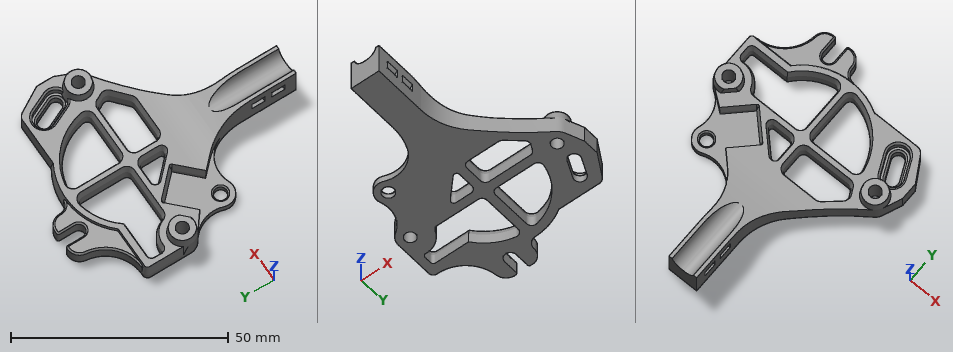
import cadquery as cq
import math


TAB_TOP = 2.0
INNER_DRAFT_START = 3.0
OUTER_DRAFT_START = 1.5
FORK_TOP = 4.1
FRAME_TOP = 5.0
BOSS_TOP = 7.6
ARM_TOP = 9.2
OVER = 1.0

INNER_DRAFT = 0.6
OUTER_DRAFT = 0.45

BOSS_PITCH = 31.0 * math.sqrt(2)
BOSS_X = BOSS_PITCH / 2
BOSS_RADIUS = 3.6
BOSS_TOP_RADIUS = 3.25
BOSS_FOOT_RADIUS = 4.1
BOSS_HOLE_D = 3.2
BOSS_FLAT_OFFSET = 2.97
TANGENT_ANGLE = 55.0

OVERALL_X = 52.76
OVERALL_Y = 66.96
FORK_END_Y = 24.14
LEFT_X = -(BOSS_X + BOSS_RADIUS)
RIGHT_X = LEFT_X + OVERALL_X
RIM_RADIUS = 18.2
LEFT_TOP_Y = 12.35
LEFT_CORNER_R = 1.3
RIGHT_TOP_Y = 15.36
RIGHT_TOP_X = 22.9
RIGHT_CORNER_R = 2.0
RIGHT_SIDE_TOP_Y = 8.0
RIGHT_SIDE_BOTTOM_Y = 3.45

ARM_HALF = 4.15
ARM_END_Y = FORK_END_Y - OVERALL_Y
ARM_BLEND_R = 16.4
ARM_BLEND_Y = -27.6
FLANK_X = 12.35
SLOPE_START_Y = -11.47
SLOPE_RADIUS = 30.0
SLOPE_MID_Y = -19.34
SLOPE_END_Y = -32.0

GROOVE_RADIUS = 2.95
GROOVE_FLAT_HALF = 0.3
GROOVE_FLOOR = 6.85
TIE_AXIS_Z = 8.9
TIE_MOUTH_BOTTOM = 4.0
TIE_MOUTH_TOP = 6.3
TIE_WIDTH = 3.55
TIE_CENTERS_Y = (-32.53, -37.98)

SPOKE_HALF = 1.265
WINDOW_RADIUS = 15.7
BOSS_CLEARANCE_R = 6.0
LEFT_WINDOW_X = -23.12
LEFT_WINDOW_TOP_Y = 9.58
TRIANGLE_SUM = -10.44
LOWER_WINDOW_Y = -9.05
LOWER_WINDOW_CORNER_X = 12.5
LOWER_WINDOW_SLOPE = 0.885
HUB_CORNER_R = 1.5
TIGHT_CORNER_R = 0.8
WIDE_CORNER_R = 2.0

OBLONG_ENDS = ((19.75, 10.83), (BOSS_X, 6.16))
OBLONG_RADIUS = 1.7
OBLONG_RECESS_RADIUS = 2.8
OBLONG_CHAMFER = 0.5
OBLONG_FLOOR = 2.8

FORK_SLOT_X = -8.14
FORK_SLOT_WIDTH = 3.4
FORK_SLOT_Y = 19.5
HORN_RADIUS = 3.3
LEFT_HORN_X = -10.62
RIGHT_HORN_X = -5.45
HORN_TIP_R = 0.5
FORK_LEFT_BLEND_R = 10.0
FORK_RIGHT_BLEND_R = 2.5
FORK_CHAMFER = 0.45

TAB_CENTER = (-17.3, -13.5)
TAB_RADIUS = 3.5
TAB_HOLE_D = 3.4
TAB_HOLE_CHAMFER = 0.4
TAB_BLEND_R = 8.0
POCKET_TOP_CORNER = (-12.84, 0.0)
POCKET_WIDTH = 9.93
POCKET_LENGTH = 25.0


def polar(center, radius, degrees):
    angle = math.radians(degrees)
    return (center[0] + radius * math.cos(angle), center[1] + radius * math.sin(angle))


def toward(start, end, distance):
    """Point at the given distance from start on the line to end."""
    span = math.dist(start, end)
    return tuple(a + (b - a) * distance / span for a, b in zip(start, end))


def arc_middle(center, radius, start, end):
    """Middle of the shorter arc between two points of a circle."""
    half_way = ((start[0] + end[0]) / 2, (start[1] + end[1]) / 2)
    return toward(center, half_way, radius)


def circle_meeting(center_a, radius_a, center_b, radius_b, side):
    """Crossing of two circles, left (side=1) or right (side=-1) of the line a to b."""
    span = math.dist(center_a, center_b)
    along = (span**2 + radius_a**2 - radius_b**2) / (2 * span)
    across = side * math.sqrt(radius_a**2 - along**2)
    ux = (center_b[0] - center_a[0]) / span
    uy = (center_b[1] - center_a[1]) / span
    return (center_a[0] + along * ux - across * uy, center_a[1] + along * uy + across * ux)


def mirrored(point):
    return (-point[0], point[1])


def box(x_min, x_max, y_min, y_max, z_min, z_max):
    size = (x_max - x_min, y_max - y_min, z_max - z_min)
    return cq.Workplane("XY").box(*size, centered=False).translate((x_min, y_min, z_min))


def disc(center, radius, height):
    return cq.Workplane("XY").center(*center).circle(radius).extrude(height)


def flare_above(prism, height, run):
    """Add a drafted continuation on top of a prism; a positive run widens it."""
    taper = -math.degrees(math.atan2(run, height))
    return prism.union(prism.faces(">Z").wires().toPending().workplane().extrude(height, taper=taper))


RIGHT_BOSS = (BOSS_X, 0.0)
LEFT_BOSS = mirrored(RIGHT_BOSS)
ARM_BLEND_CENTER = (ARM_HALF + ARM_BLEND_R, ARM_BLEND_Y)


def frame_outline():
    """Plan shape of the frame and arm; the arm and boss sides mirror each other."""
    boss_exit = polar(RIGHT_BOSS, BOSS_RADIUS, -TANGENT_ANGLE)
    arm_start = polar(ARM_BLEND_CENTER, ARM_BLEND_R, 135)
    arm_middle = polar(ARM_BLEND_CENTER, ARM_BLEND_R, 157.5)
    arm_side = (ARM_HALF, ARM_BLEND_Y)
    flank = (FLANK_X, arm_start[1] + FLANK_X - arm_start[0])
    left_start = (LEFT_X, 0.0)
    left_middle = arc_middle(LEFT_BOSS, BOSS_RADIUS, left_start, mirrored(boss_exit))

    chord_angle = math.degrees(math.atan2(boss_exit[1] - flank[1], boss_exit[0] - flank[0]))
    chord = math.dist(boss_exit, flank)
    turn = math.radians(chord_angle - (90 - TANGENT_ANGLE))
    bulge = chord / 2 * math.tan(turn / 2)
    chord_middle = ((boss_exit[0] + flank[0]) / 2, (boss_exit[1] + flank[1]) / 2)
    shallow_middle = polar(chord_middle, bulge, chord_angle + 90)

    side_foot = (RIGHT_X, RIGHT_SIDE_BOTTOM_Y)
    tangent_length = math.sqrt(math.dist(side_foot, RIGHT_BOSS) ** 2 - BOSS_RADIUS**2)
    side_tangent = circle_meeting(RIGHT_BOSS, BOSS_RADIUS, side_foot, tangent_length, -1)
    right_middle = arc_middle(RIGHT_BOSS, BOSS_RADIUS, boss_exit, side_tangent)

    rim_right = (math.sqrt(RIM_RADIUS**2 - RIGHT_TOP_Y**2), RIGHT_TOP_Y)
    rim_left = (-math.sqrt(RIM_RADIUS**2 - LEFT_TOP_Y**2), LEFT_TOP_Y)
    return (
        cq.Workplane("XY")
        .moveTo(*left_start)
        .threePointArc(left_middle, mirrored(boss_exit))
        .threePointArc(mirrored(shallow_middle), mirrored(flank))
        .lineTo(*mirrored(arm_start))
        .threePointArc(mirrored(arm_middle), mirrored(arm_side))
        .lineTo(-ARM_HALF, ARM_END_Y)
        .lineTo(ARM_HALF, ARM_END_Y)
        .lineTo(*arm_side)
        .threePointArc(arm_middle, arm_start)
        .lineTo(*flank)
        .threePointArc(shallow_middle, boss_exit)
        .threePointArc(right_middle, side_tangent)
        .lineTo(*side_foot)
        .lineTo(RIGHT_X, RIGHT_SIDE_TOP_Y)
        .lineTo(RIGHT_TOP_X, RIGHT_TOP_Y)
        .lineTo(*rim_right)
        .threePointArc((0, RIM_RADIUS), rim_left)
        .lineTo(LEFT_X, LEFT_TOP_Y)
        .close()
    )


def corner(x, y):
    """Selector for the vertical edge at a corner of the plan."""
    reach = 0.1
    return cq.selectors.BoxSelector((x - reach, y - reach, -1), (x + reach, y + reach, 2 * ARM_TOP), True)


def outline_prism():
    prism = frame_outline().extrude(ARM_TOP + OVER)
    prism = prism.edges("|Z").edges(corner(LEFT_X, LEFT_TOP_Y)).fillet(LEFT_CORNER_R)
    return prism.edges("|Z").edges(corner(RIGHT_TOP_X, RIGHT_TOP_Y)).fillet(RIGHT_CORNER_R)


def side_profile():
    """Flat over the frame, then an S-shaped rise to the top of the arm."""
    run = SLOPE_START_Y - SLOPE_MID_Y
    sweep = math.asin(run / SLOPE_RADIUS)
    mid_z = FRAME_TOP + SLOPE_RADIUS * (1 - math.cos(sweep))
    arc_y = SLOPE_START_Y - SLOPE_RADIUS * math.sin(sweep / 2)
    arc_z = FRAME_TOP + SLOPE_RADIUS * (1 - math.cos(sweep / 2))
    handle = (SLOPE_MID_Y - SLOPE_END_Y) / 3
    rise_curve = [
        (SLOPE_MID_Y, mid_z),
        (SLOPE_MID_Y - handle, mid_z + handle * math.tan(sweep)),
        (SLOPE_END_Y + handle, ARM_TOP),
        (SLOPE_END_Y, ARM_TOP),
    ]
    back_y = FORK_END_Y + OVER
    front_y = ARM_END_Y - OVER
    return (
        cq.Workplane("YZ", origin=(-OVERALL_X, 0, 0))
        .moveTo(back_y, -OVER)
        .lineTo(back_y, FRAME_TOP)
        .lineTo(SLOPE_START_Y, FRAME_TOP)
        .threePointArc((arc_y, arc_z), (SLOPE_MID_Y, mid_z))
        .bezier(rise_curve)
        .lineTo(front_y, ARM_TOP)
        .lineTo(front_y, -OVER)
        .close()
        .extrude(2 * OVERALL_X)
    )


def draft_envelope():
    """Leans the left wall, the upper left wall and the rim inward; elsewhere it clears the frame."""
    height = FRAME_TOP - OUTER_DRAFT_START
    left_block = box(LEFT_X, 0, -BOSS_X, LEFT_TOP_Y, 0, OUTER_DRAFT_START)
    left_block = left_block.edges("|Z and <X and >Y").fillet(LEFT_CORNER_R)
    rim = disc((0, 0), RIM_RADIUS, OUTER_DRAFT_START)
    right_block = box(0, OVERALL_X, -OVERALL_Y, RIGHT_TOP_Y, 0, ARM_TOP + OVER)
    lower_block = box(-OVERALL_X, OVERALL_X, -OVERALL_Y, 0, 0, ARM_TOP + OVER)
    envelope = flare_above(left_block, height, -OUTER_DRAFT)
    envelope = envelope.union(flare_above(rim, height, -OUTER_DRAFT))
    return envelope.union(right_block).union(lower_block)


def boss(center):
    height = BOSS_TOP - OUTER_DRAFT_START
    foot = cq.Vector(*center, OUTER_DRAFT_START)
    return cq.Workplane(cq.Solid.makeCone(BOSS_FOOT_RADIUS, BOSS_TOP_RADIUS, height, foot))


def bosses():
    """Two tapered bosses; the left one has a flat facing the pocket."""
    flat_cut = (
        box(BOSS_FLAT_OFFSET, 2 * BOSS_FOOT_RADIUS, -BOSS_X, BOSS_X, FRAME_TOP, BOSS_TOP + OVER)
        .rotate((0, 0, 0), (0, 0, 1), -45)
        .translate((*LEFT_BOSS, 0))
    )
    return boss(LEFT_BOSS).cut(flat_cut).union(boss(RIGHT_BOSS))


def fork():
    """Two horns around an open slot, blended into the left wall and the rim."""
    horn_y = FORK_END_Y - HORN_RADIUS
    left_horn = (LEFT_HORN_X, horn_y)
    right_horn = (RIGHT_HORN_X, horn_y)
    slot_half = FORK_SLOT_WIDTH / 2
    slot_left = FORK_SLOT_X - slot_half
    slot_right = FORK_SLOT_X + slot_half

    left_y = LEFT_TOP_Y + FORK_LEFT_BLEND_R
    left_reach = math.sqrt((HORN_RADIUS + FORK_LEFT_BLEND_R) ** 2 - (left_y - horn_y) ** 2)
    left_blend = (left_horn[0] - left_reach, left_y)
    left_foot = (left_blend[0], LEFT_TOP_Y)
    left_join = toward(left_horn, left_blend, HORN_RADIUS)
    right_blend = circle_meeting(
        (0, 0), RIM_RADIUS + FORK_RIGHT_BLEND_R, right_horn, HORN_RADIUS + FORK_RIGHT_BLEND_R, -1
    )
    right_join = toward(right_horn, right_blend, HORN_RADIUS)
    right_foot = toward((0, 0), right_blend, RIM_RADIUS)

    left_tip = (slot_left, horn_y + math.sqrt(HORN_RADIUS**2 - (slot_left - LEFT_HORN_X) ** 2))
    right_tip = (slot_right, horn_y + math.sqrt(HORN_RADIUS**2 - (slot_right - RIGHT_HORN_X) ** 2))
    left_edge = arc_middle(left_blend, FORK_LEFT_BLEND_R, left_foot, left_join)
    right_edge = arc_middle(right_blend, FORK_RIGHT_BLEND_R, right_foot, right_join)
    root_y = LEFT_WINDOW_TOP_Y
    plate = (
        cq.Workplane("XY")
        .moveTo(*left_foot)
        .threePointArc(left_edge, left_join)
        .threePointArc(arc_middle(left_horn, HORN_RADIUS, left_join, left_tip), left_tip)
        .lineTo(slot_left, FORK_SLOT_Y)
        .threePointArc((FORK_SLOT_X, FORK_SLOT_Y - slot_half), (slot_right, FORK_SLOT_Y))
        .lineTo(*right_tip)
        .threePointArc(arc_middle(right_horn, HORN_RADIUS, right_tip, right_join), right_join)
        .threePointArc(right_edge, right_foot)
        .lineTo(right_foot[0], root_y)
        .lineTo(left_foot[0], root_y)
        .close()
        .extrude(FORK_TOP)
    )
    for tip in (left_tip, right_tip):
        plate = plate.edges("|Z").edges(corner(*tip)).fillet(HORN_TIP_R)
    return plate.faces(">Z").chamfer(FORK_CHAMFER)


def screw_tab():
    """Low round tab, blended into the outline of the frame on both sides."""
    reach = TAB_RADIUS + TAB_BLEND_R
    upper_blend = circle_meeting(LEFT_BOSS, BOSS_RADIUS + TAB_BLEND_R, TAB_CENTER, reach, -1)
    upper_foot = toward(LEFT_BOSS, upper_blend, BOSS_RADIUS)
    upper_join = toward(TAB_CENTER, upper_blend, TAB_RADIUS)
    upper_middle = arc_middle(upper_blend, TAB_BLEND_R, upper_foot, upper_join)

    arm_center = mirrored(ARM_BLEND_CENTER)
    lower_blend = circle_meeting(TAB_CENTER, reach, arm_center, ARM_BLEND_R - TAB_BLEND_R, 1)
    lower_foot = toward(arm_center, lower_blend, ARM_BLEND_R)
    lower_join = toward(TAB_CENTER, lower_blend, TAB_RADIUS)
    lower_middle = arc_middle(lower_blend, TAB_BLEND_R, lower_join, lower_foot)

    tab_tip = polar(TAB_CENTER, TAB_RADIUS, 225)
    return (
        cq.Workplane("XY")
        .moveTo(*upper_foot)
        .threePointArc(upper_middle, upper_join)
        .threePointArc(tab_tip, lower_join)
        .threePointArc(lower_middle, lower_foot)
        .lineTo(0, lower_foot[1])
        .lineTo(*POCKET_TOP_CORNER)
        .close()
        .extrude(TAB_TOP)
    )


def pocket():
    """Square pocket over the tab, turned 45 degrees, with drafted upper walls."""
    inset = INNER_DRAFT
    floor_height = INNER_DRAFT_START - TAB_TOP
    draft_height = FRAME_TOP - INNER_DRAFT_START
    lower = box(inset, POCKET_WIDTH - inset, -POCKET_LENGTH, -inset, 0, floor_height)
    cutter = flare_above(lower, 2 * draft_height, 2 * INNER_DRAFT)
    cutter = cutter.rotate((0, 0, 0), (0, 0, 1), -45)
    return cutter.translate((*POCKET_TOP_CORNER, TAB_TOP))


def window(prism):
    """Complete a window cutter with its drafted upper walls."""
    return flare_above(prism, FRAME_TOP - INNER_DRAFT_START, INNER_DRAFT)


def upper_windows():
    height = INNER_DRAFT_START
    rim = disc((0, 0), WINDOW_RADIUS, height)
    right = rim.intersect(box(SPOKE_HALF, RIM_RADIUS, SPOKE_HALF, RIM_RADIUS, 0, height))
    right = right.edges("|Z").fillet(HUB_CORNER_R)
    left = rim.union(box(LEFT_WINDOW_X, -SPOKE_HALF, 0, LEFT_WINDOW_TOP_Y, 0, height))
    left = left.intersect(box(LEFT_WINDOW_X, -SPOKE_HALF, SPOKE_HALF, RIM_RADIUS, 0, height))
    left = left.cut(disc(LEFT_BOSS, BOSS_CLEARANCE_R, height))
    left = left.edges("|Z and <X").fillet(TIGHT_CORNER_R)
    left = left.edges("|Z and >X").fillet(HUB_CORNER_R)
    arc_foot_x = -BOSS_X + math.sqrt(BOSS_CLEARANCE_R**2 - SPOKE_HALF**2)
    left = left.edges("|Z").edges(corner(arc_foot_x, SPOKE_HALF)).fillet(HUB_CORNER_R)
    return window(right).union(window(left))


def lower_windows():
    height = INNER_DRAFT_START
    triangle_end = TRIANGLE_SUM + SPOKE_HALF
    triangle = (
        cq.Workplane("XY")
        .polyline([(-SPOKE_HALF, -SPOKE_HALF), (triangle_end, -SPOKE_HALF), (-SPOKE_HALF, triangle_end)])
        .close()
        .extrude(height)
    )
    triangle = triangle.edges("|Z").edges(corner(-SPOKE_HALF, -SPOKE_HALF)).fillet(HUB_CORNER_R)
    for x, y in ((triangle_end, -SPOKE_HALF), (-SPOKE_HALF, triangle_end)):
        triangle = triangle.edges("|Z").edges(corner(x, y)).fillet(TIGHT_CORNER_R)

    rise_end_x = LOWER_WINDOW_CORNER_X + (-SPOKE_HALF - LOWER_WINDOW_Y) / LOWER_WINDOW_SLOPE
    right = (
        cq.Workplane("XY")
        .moveTo(SPOKE_HALF, -SPOKE_HALF)
        .lineTo(SPOKE_HALF, LOWER_WINDOW_Y)
        .lineTo(LOWER_WINDOW_CORNER_X, LOWER_WINDOW_Y)
        .lineTo(rise_end_x, -SPOKE_HALF)
        .close()
        .extrude(height)
        .cut(disc(RIGHT_BOSS, BOSS_CLEARANCE_R, height))
    )
    right = right.edges("|Z").edges(corner(LOWER_WINDOW_CORNER_X, LOWER_WINDOW_Y)).fillet(WIDE_CORNER_R)
    right = right.edges("|Z and <X").fillet(HUB_CORNER_R)
    right = right.edges("|Z and >X").fillet(HUB_CORNER_R)
    right = right.edges("|Z").edges(">Y").edges(">X").fillet(HUB_CORNER_R)
    return window(triangle).union(window(right))


def oblong(radius, z_min, height):
    upper, lower = OBLONG_ENDS
    length = math.dist(upper, lower) + 2 * radius
    angle = math.degrees(math.atan2(lower[1] - upper[1], lower[0] - upper[0]))
    center = ((upper[0] + lower[0]) / 2, (upper[1] + lower[1]) / 2)
    return (
        cq.Workplane("XY", origin=(*center, z_min))
        .transformed(rotate=(0, 0, angle))
        .slot2D(length, 2 * radius)
        .extrude(height)
    )


def oblong_hole():
    through = oblong(OBLONG_RADIUS, 0, OBLONG_FLOOR - OBLONG_CHAMFER)
    recess_height = FRAME_TOP - OBLONG_CHAMFER - OBLONG_FLOOR
    recess = oblong(OBLONG_RECESS_RADIUS, OBLONG_FLOOR, recess_height)
    through = flare_above(through, OBLONG_CHAMFER, OBLONG_CHAMFER)
    recess = flare_above(recess, OBLONG_CHAMFER, OBLONG_CHAMFER).cut(boss(RIGHT_BOSS))
    return through.union(recess)


def groove():
    axis_z = GROOVE_FLOOR + GROOVE_RADIUS
    side_z = axis_z + OVER
    half = GROOVE_FLAT_HALF + GROOVE_RADIUS
    left_arc = polar((-GROOVE_FLAT_HALF, axis_z), GROOVE_RADIUS, 225)
    return (
        cq.Workplane("XZ")
        .moveTo(-half, side_z)
        .lineTo(-half, axis_z)
        .threePointArc(left_arc, (-GROOVE_FLAT_HALF, GROOVE_FLOOR))
        .lineTo(GROOVE_FLAT_HALF, GROOVE_FLOOR)
        .threePointArc(mirrored(left_arc), (half, axis_z))
        .lineTo(half, side_z)
        .close()
        .extrude(-ARM_END_Y + OVER)
    )


def tie_channels():
    """Two curved channels that enter one side of the arm and leave by the other."""
    outer = math.hypot(ARM_HALF, TIE_AXIS_Z - TIE_MOUTH_BOTTOM)
    inner = math.hypot(ARM_HALF, TIE_AXIS_Z - TIE_MOUTH_TOP)
    channels = cq.Workplane("XY")
    for center_y in TIE_CENTERS_Y:
        start = cq.Workplane("XZ", origin=(0, center_y + TIE_WIDTH / 2, TIE_AXIS_Z))
        ring = start.circle(outer).circle(inner).extrude(TIE_WIDTH)
        lower_part = box(-outer, outer, ARM_END_Y, 0, 0, TIE_MOUTH_TOP)
        channels = channels.add(ring.intersect(lower_part))
    return channels.combine()


def boss_holes():
    height = BOSS_TOP + OVER
    return disc(LEFT_BOSS, BOSS_HOLE_D / 2, height).union(disc(RIGHT_BOSS, BOSS_HOLE_D / 2, height))


def tab_hole():
    straight = disc(TAB_CENTER, TAB_HOLE_D / 2, TAB_TOP - TAB_HOLE_CHAMFER)
    return flare_above(straight, TAB_HOLE_CHAMFER, TAB_HOLE_CHAMFER)


def build():
    part = side_profile().intersect(draft_envelope()).union(bosses())
    part = part.intersect(outline_prism()).union(fork())
    part = part.cut(upper_windows()).cut(lower_windows()).cut(oblong_hole())
    part = part.union(screw_tab())
    part = part.cut(pocket()).cut(groove()).cut(tie_channels())
    return part.cut(boss_holes()).cut(tab_hole())


result = build()